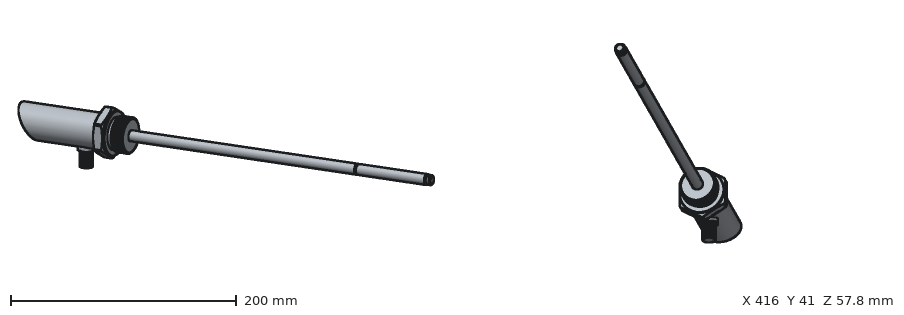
import cadquery as cq
import math

total_length = 416.0

housing_diameter = 33.0
slant_angle = 60.0
slant_length = housing_diameter / math.tan(math.radians(slant_angle))

connector_x = 65.5
connector_bottom_z = -34.5
collar_diameter = 16.0
collar_bottom_z = -18.7
connector_diameter = 12.0
connector_pitch = 1.0
connector_thread_depth = 0.6

hex_start_x = 83.0
hex_length = 9.5
hex_flats = 41.0
hex_sharp_diameter = 2 * hex_flats / math.sqrt(3)
hex_corner_diameter = 46.5
hex_corner_radius = hex_corner_diameter / 2
hex_chamfer_diameter = 40.0
hex_chamfer_angle = 20.0
flange_length = 2.0
neck_diameter = 30.0
thread_diameter = housing_diameter
thread_start_x = 98.0
thread_pitch = 2.5
thread_turns = 5
hex_end_x = hex_start_x + hex_length
flange_end_x = hex_end_x + flange_length
thread_end_x = thread_start_x + thread_turns * thread_pitch

rod_diameter = 10.0
groove_diameter = 9.5
groove_width = 1.5
middle_groove_x = 339.5
end_groove_x = 410.0
tip_diameter = 9.0
tip_chamfer = 1.2


def cylinder_x(diameter, start, end):
    return cq.Workplane("YZ", origin=(start, 0, 0)).circle(diameter / 2).extrude(end - start)


def cylinder_z(diameter, bottom, top):
    return cq.Workplane("XY", origin=(connector_x, 0, bottom)).circle(diameter / 2).extrude(top - bottom)


def ridge_profile(start, pitch, count, root_radius, crest_radius):
    """Closed (axial, radial) outline of a ridged cylinder, one triangular crest per pitch."""
    points = [(start, 0), (start, root_radius)]
    for index in range(count):
        ridge_start = start + index * pitch
        points.append((ridge_start + pitch / 2, crest_radius))
        points.append((ridge_start + pitch, root_radius))
    points.append((start + count * pitch, 0))
    return points


def make_connector():
    """Collar growing out of the housing and the ridged plug end below it."""
    collar = cylinder_z(collar_diameter, collar_bottom_z, 0)
    core_radius = connector_diameter / 2 - connector_thread_depth
    turns = int((collar_bottom_z - connector_bottom_z) / connector_pitch)
    profile = ridge_profile(connector_bottom_z, connector_pitch, turns, core_radius, connector_diameter / 2)
    plug = (
        cq.Workplane("XZ", origin=(connector_x, 0, 0))
        .polyline([(radius, z) for z, radius in profile])
        .close()
        .revolve(360, (0, 0, 0), (0, 1, 0))
    )
    thread_top_z = connector_bottom_z + turns * connector_pitch
    shank = cylinder_z(2 * core_radius, thread_top_z, collar_bottom_z)
    return collar.union(shank).union(plug)


def make_housing():
    """Cylinder with a slanted left face, carrying the connector."""
    radius = housing_diameter / 2
    barrel = cylinder_x(housing_diameter, 0, hex_start_x)
    slant_cut = (
        cq.Workplane("XZ")
        .polyline([(0, radius), (slant_length, -radius), (0, -radius)])
        .close()
        .extrude(radius, both=True)
    )
    return barrel.cut(slant_cut).union(make_connector())


def make_hexagon():
    """Hexagon with rounded corners up and down, chamfered at both ends."""
    hexagon = (
        cq.Workplane("YZ", origin=(hex_start_x, 0, 0))
        .transformed(rotate=(0, 0, 90))
        .polygon(6, hex_sharp_diameter)
        .extrude(hex_length)
    )
    chamfer_radius = hex_chamfer_diameter / 2
    chamfer_length = (hex_corner_radius - chamfer_radius) * math.tan(math.radians(hex_chamfer_angle))
    envelope = (
        cq.Workplane("XY")
        .polyline([
            (hex_start_x, 0),
            (hex_start_x, chamfer_radius),
            (hex_start_x + chamfer_length, hex_corner_radius),
            (hex_end_x - chamfer_length, hex_corner_radius),
            (hex_end_x, chamfer_radius),
            (hex_end_x, 0),
        ])
        .close()
        .revolve(360, (0, 0, 0), (1, 0, 0))
    )
    return hexagon.intersect(envelope)


def make_fitting():
    """Hexagon, flange, neck and ridged thread, bored for the probe rod."""
    flange = cylinder_x(hex_chamfer_diameter, hex_end_x, flange_end_x)
    neck = cylinder_x(neck_diameter, flange_end_x, thread_start_x)
    profile = ridge_profile(
        thread_start_x, thread_pitch, thread_turns, neck_diameter / 2, thread_diameter / 2
    )
    thread = cq.Workplane("XY").polyline(profile).close().revolve(360, (0, 0, 0), (1, 0, 0))
    bore = cylinder_x(rod_diameter, hex_start_x, thread_end_x)
    return make_hexagon().union(flange).union(neck).union(thread).cut(bore)


def make_rod():
    """Probe rod with two shallow grooves and a chamfered, slightly thinner tip."""
    tip_start_x = end_groove_x + groove_width
    rod = cylinder_x(rod_diameter, hex_start_x, tip_start_x)
    tip = cylinder_x(tip_diameter, tip_start_x, total_length).faces(">X").chamfer(tip_chamfer)
    rod = rod.union(tip)
    for groove_x in (middle_groove_x, end_groove_x):
        groove_end_x = groove_x + groove_width
        ring = cylinder_x(rod_diameter, groove_x, groove_end_x)
        rod = rod.cut(ring.cut(cylinder_x(groove_diameter, groove_x, groove_end_x)))
    return rod


housing = make_housing()
fitting = make_fitting()
rod = make_rod()

result = cq.Compound.makeCompound([housing.val(), fitting.val(), rod.val()])